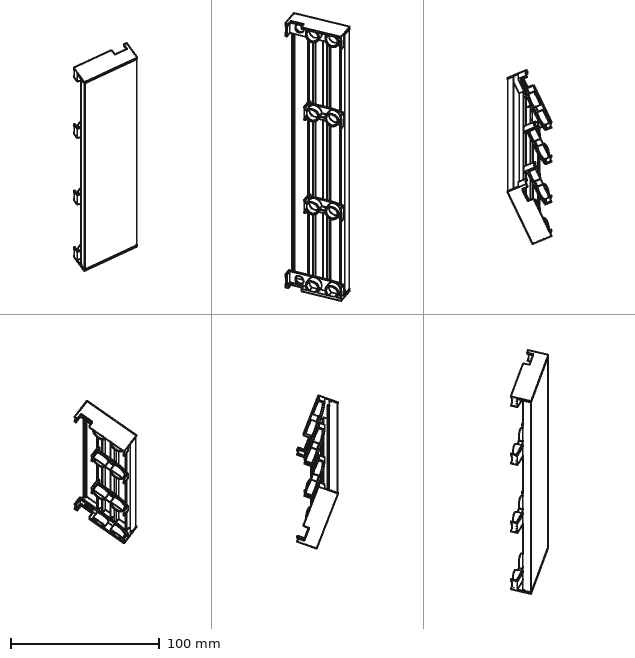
import cadquery as cq
import math

DEPTH = 14.3
WIDTH = 41.4
LENGTH = 210.0

HOLDER_HEIGHT = 10.3
WALL = 1.3
LOW_FLANGE = 0.8
PLATE = 1.7
WEB_BACK = 6.3
WEB_FRONT = WEB_BACK - WALL
BEND_START_Y = 13.2
BEND_RISE = 1.58
SADDLE_DEPTH = 0.8
CLIP_WIDTH = 27.5
SOCKET_YS = (7.1, 21.6)
SOCKET_OUTER = 10.0
SOCKET_BORE = 8.2
SOCKET_RIB = 0.6
MIDDLE_CLIP_Z = 142.0

CAP_HOLE = 6.3
CAP_HOLE_Y = 33.2
NOTCH_DEPTH = 4.5
NOTCH_LOW_Y = 29.6
NOTCH_HIGH_Y = 39.0
NOTCH_CHAMFER = 0.6

PANEL_FRONT = 8.2
PANEL_FLOOR = 11.3
PANEL_SIDE_GAP = 0.2
RIB_WIDTH = 4.6
RIB_STARTS_Y = (PANEL_SIDE_GAP, 12.8, 24.0)
GROOVE_DIAMETER = 2.7
GROOVE_YS = (2.3, 15.5, 26.0)
SHOULDER_X = 9.9
ROUNDED_SHOULDER = 0.8
SLOPED_SHOULDER = 1.3
SLOPE_DROP = 0.6
EDGE_WALL_X = 9.9
EDGE_WALL = 0.8
EDGE_SLOPE = 0.8
BACK_CHAMFER = 0.5


def box(x0, x1, y0, y1, z0, z1):
    """Axis-aligned box given by its limits."""
    return cq.Workplane("XY").box(x1 - x0, y1 - y0, z1 - z0, centered=False).translate((x0, y0, z0))


def rod(diameter, y, x0, x1):
    """Cylinder along X, centred on the mid height of a holder."""
    profile = cq.Workplane("YZ", origin=(x0, 0, 0)).center(y, HOLDER_HEIGHT / 2)
    return profile.circle(diameter / 2).extrude(x1 - x0)


def make_web(width):
    """Back wall of a holder, bent forward along an arc towards Y = 0."""
    radius = (BEND_START_Y**2 + BEND_RISE**2) / (2 * BEND_RISE)
    half_angle = math.asin(BEND_START_Y / radius) / 2
    mid_y = BEND_START_Y - radius * math.sin(half_angle)
    mid_rise = radius * (1 - math.cos(half_angle))
    return (
        cq.Workplane("XY")
        .moveTo(WEB_BACK, width)
        .lineTo(WEB_BACK, BEND_START_Y)
        .threePointArc((WEB_BACK - mid_rise, mid_y), (WEB_BACK - BEND_RISE, 0))
        .lineTo(WEB_FRONT - BEND_RISE, 0)
        .threePointArc((WEB_FRONT - mid_rise, mid_y), (WEB_FRONT, BEND_START_Y))
        .lineTo(WEB_FRONT, width)
        .close()
        .extrude(HOLDER_HEIGHT)
    )


def make_saddle():
    """Concave cylinder along Y that hollows the front edge of a holder."""
    half = HOLDER_HEIGHT / 2
    radius = (half**2 + SADDLE_DEPTH**2) / (2 * SADDLE_DEPTH)
    profile = cq.Workplane("XZ").center(SADDLE_DEPTH - radius, half)
    return profile.circle(radius).extrude(-WIDTH)


def make_sockets():
    """Two parallel tubes along X."""
    tubes = [rod(SOCKET_OUTER, y, 0, WEB_FRONT).cut(rod(SOCKET_BORE, y, 0, WEB_FRONT)) for y in SOCKET_YS]
    return tubes[0].union(tubes[1])


def make_holder(width):
    """Channel with two side flanges and two round sockets, standing on Z = 0."""
    holder = make_web(width)
    holder = holder.union(box(0, WEB_BACK - BEND_RISE, 0, LOW_FLANGE, 0, HOLDER_HEIGHT))
    holder = holder.union(box(0, WEB_BACK, width - WALL, width, 0, HOLDER_HEIGHT))
    return holder.union(make_sockets())


def make_middle_clip():
    """Short holder with a rib between its sockets and a foot reaching back to the panel."""
    wall_radius = (SOCKET_OUTER + SOCKET_BORE) / 4
    mid = HOLDER_HEIGHT / 2
    clip = make_holder(CLIP_WIDTH)
    rib = box(
        0, WEB_FRONT,
        SOCKET_YS[0] + wall_radius, SOCKET_YS[1] - wall_radius,
        mid - SOCKET_RIB / 2, mid + SOCKET_RIB / 2,
    )
    foot = box(WEB_BACK, PANEL_FRONT, CLIP_WIDTH - WALL, CLIP_WIDTH, 0, HOLDER_HEIGHT)
    return clip.union(rib).union(foot).cut(make_saddle())


def make_end_cap():
    """Full-width holder closed by a notched end plate that covers the panel end."""
    cap = make_holder(WIDTH)
    cap = cap.union(box(0, DEPTH, 0, WIDTH, 0, PLATE))
    cap = cap.cut(rod(CAP_HOLE, CAP_HOLE_Y, 0, WEB_BACK))
    notch = (
        cq.Workplane("XY")
        .moveTo(0, NOTCH_HIGH_Y)
        .lineTo(NOTCH_DEPTH, NOTCH_HIGH_Y)
        .lineTo(NOTCH_DEPTH, NOTCH_LOW_Y)
        .lineTo(NOTCH_CHAMFER, NOTCH_LOW_Y)
        .lineTo(0, NOTCH_LOW_Y - NOTCH_CHAMFER)
        .close()
        .extrude(PLATE)
    )
    return cap.cut(notch).cut(make_saddle())


def make_panel():
    """Extruded panel with three grooved ribs and a sloped edge wall on its front face."""
    y_high = WIDTH - PANEL_SIDE_GAP
    first, second, third = RIB_STARTS_Y
    shoulder_height = SHOULDER_X - PANEL_FRONT
    shoulder_radius = (shoulder_height**2 + ROUNDED_SHOULDER**2) / (2 * ROUNDED_SHOULDER)
    mid_angle = math.asin(shoulder_height / shoulder_radius) / 2
    shoulder_mid = (
        SHOULDER_X - shoulder_radius * math.sin(mid_angle),
        first + shoulder_radius * (1 - math.cos(mid_angle)),
    )
    section = (
        cq.Workplane("XY", origin=(0, 0, PLATE))
        .moveTo(DEPTH - BACK_CHAMFER, first)
        .lineTo(SHOULDER_X, first)
        .threePointArc(shoulder_mid, (PANEL_FRONT, first + ROUNDED_SHOULDER))
        .lineTo(PANEL_FRONT, first + RIB_WIDTH)
        .lineTo(PANEL_FLOOR, first + RIB_WIDTH)
        .lineTo(PANEL_FLOOR, second)
        .lineTo(PANEL_FRONT + SLOPE_DROP, second)
        .lineTo(PANEL_FRONT, second + SLOPED_SHOULDER)
        .lineTo(PANEL_FRONT, second + RIB_WIDTH)
        .lineTo(PANEL_FLOOR, second + RIB_WIDTH)
        .lineTo(PANEL_FLOOR, third)
        .lineTo(PANEL_FRONT, third)
        .lineTo(PANEL_FRONT, third + RIB_WIDTH)
        .lineTo(PANEL_FLOOR, third + RIB_WIDTH)
        .lineTo(PANEL_FLOOR, y_high - EDGE_WALL - EDGE_SLOPE)
        .lineTo(EDGE_WALL_X + SLOPE_DROP, y_high - EDGE_WALL - EDGE_SLOPE)
        .lineTo(EDGE_WALL_X, y_high - EDGE_WALL)
        .lineTo(EDGE_WALL_X, y_high)
        .lineTo(DEPTH - BACK_CHAMFER, y_high)
        .lineTo(DEPTH, y_high - BACK_CHAMFER)
        .lineTo(DEPTH, first + BACK_CHAMFER)
        .close()
    )
    length = LENGTH - 2 * PLATE
    return section.extrude(length).cut(make_grooves(length))


def make_grooves(length):
    """U-shaped grooves with round bottoms, one along each rib."""
    radius = GROOVE_DIAMETER / 2
    axis_x = PANEL_FRONT + radius
    centres = [(axis_x, y) for y in GROOVE_YS]
    grooves = cq.Workplane("XY", origin=(0, 0, PLATE)).pushPoints(centres).circle(radius).extrude(length)
    for y in GROOVE_YS:
        mouth = box(PANEL_FRONT, axis_x, y - radius, y + radius, PLATE, PLATE + length)
        grooves = grooves.union(mouth)
    return grooves


panel = make_panel()
bottom_cap = make_end_cap()
top_cap = make_end_cap().mirror("XY").translate((0, 0, LENGTH))
clip_heights = (LENGTH - MIDDLE_CLIP_Z, MIDDLE_CLIP_Z)
middle_clips = [make_middle_clip().translate((0, 0, z - HOLDER_HEIGHT / 2)) for z in clip_heights]

result = cq.Compound.makeCompound(
    [panel.val(), bottom_cap.val(), top_cap.val(), *[clip.val() for clip in middle_clips]]
)